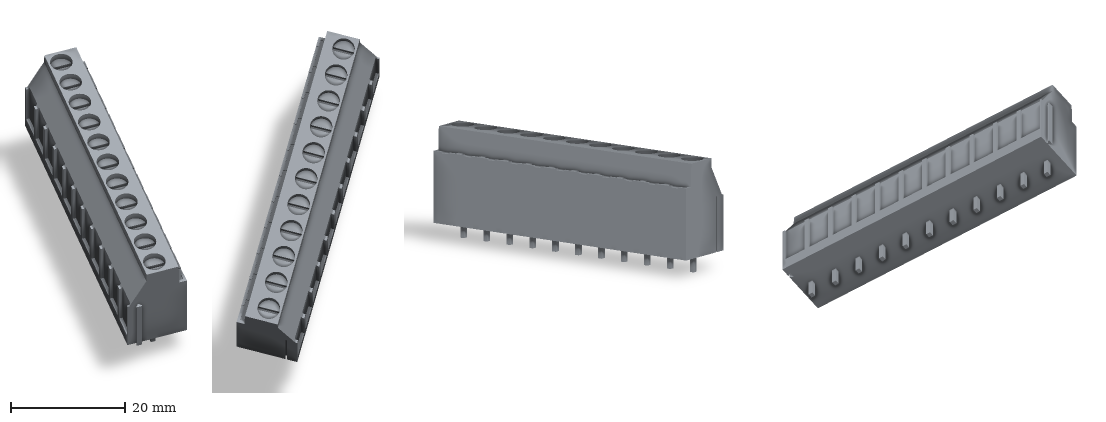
import cadquery as cq
import math

pole_count = 11
overall_length = 55.65
latch_projection = 0.65
body_length = overall_length - latch_projection
pitch = body_length / pole_count
body_depth = 11.0
overall_height = 20.3
pin_length = 3.2
body_height = overall_height - pin_length

lip_height = 10.0
lip_depth = 0.4
nose_height = 1.65
slope_angle = 30.0
slope_top = body_height - nose_height
slope_run = (slope_top - lip_height) * math.tan(math.radians(slope_angle))
slope_setback = lip_depth + slope_run
shelf_height = 12.9
shelf_depth = 1.4
draft_angle = 2.0
draft_slope = math.tan(math.radians(draft_angle))
nose_draft = nose_height * draft_slope
rear_draft = (body_height - shelf_height) * draft_slope

window_width = 4.2
window_margin = 0.55
window_sill = 2.35
window_depth = 0.6

screw_diameter = 3.95
screw_setback = 5.85
screw_recess = 1.3
slot_width = 0.6
slot_depth = 0.85

marker_width = 3.95
marker_mouth = 1.5
marker_lip = 0.5
marker_depth = 0.2

pin_width = 0.8
pin_thickness = 0.9

rail_setback = 2.0
rail_neck_width = 0.35
rail_head_width = 1.0
rail_neck_length = 0.15
rail_flare_length = 0.3


def box(x, y, z, length, depth, height):
    """Box with its lowest corner at (x, y, z)."""
    return cq.Workplane("XY").box(length, depth, height, centered=False).translate((x, y, z))


def housing():
    """Side profile swept along the whole row of poles."""
    profile = [
        (0, 0),
        (body_depth, 0),
        (body_depth, shelf_height),
        (body_depth - shelf_depth, shelf_height),
        (body_depth - shelf_depth - rear_draft, body_height),
        (slope_setback + nose_draft, body_height),
        (slope_setback, slope_top),
        (lip_depth, lip_height),
        (0, lip_height),
    ]
    return cq.Workplane("YZ").polyline(profile).close().extrude(body_length)


def wire_window(pole):
    """Recess behind the front face, open upward so that it runs out into the slope."""
    x = pole * pitch + window_margin
    return box(x, 0, window_sill, window_width, window_depth, body_height - window_sill)


def screw_well(center_x):
    """Round well down to the screw head, with the driver slot across the head."""
    floor = body_height - screw_recess
    well = cq.Workplane("XY").circle(screw_diameter / 2).extrude(screw_recess + slot_depth)
    slot = cq.Workplane("XY").rect(slot_width, screw_diameter).extrude(slot_depth)
    head = cq.Workplane("XY").circle(screw_diameter / 2).extrude(slot_depth).cut(slot)
    return well.cut(head).translate((center_x, screw_setback, floor - slot_depth))


def marker_pocket(center_x):
    """Wide pocket against the rear wall with a narrow mouth through the back face."""
    floor = shelf_height - marker_depth
    inner_depth = shelf_depth - marker_lip
    cavity = box(
        center_x - marker_width / 2, body_depth - shelf_depth, floor,
        marker_width, inner_depth, marker_depth,
    )
    mouth = box(
        center_x - marker_mouth / 2, body_depth - shelf_depth, floor,
        marker_mouth, shelf_depth, marker_depth,
    )
    return cavity.union(mouth)


def solder_pin(center_x):
    return box(
        center_x - pin_width / 2, (body_depth - pin_thickness) / 2, -pin_length,
        pin_width, pin_thickness, pin_length,
    )


def latch_rail(start_x):
    """Rail growing along +X from the plane x = start_x, with a head that flares out from its neck."""
    half_outline = [
        (start_x, rail_neck_width / 2),
        (start_x + rail_neck_length, rail_neck_width / 2),
        (start_x + rail_neck_length + rail_flare_length, rail_head_width / 2),
        (start_x + latch_projection, rail_head_width / 2),
    ]
    mirrored_half = [(x, -y) for x, y in reversed(half_outline)]
    outline = cq.Workplane("XY").polyline(half_outline + mirrored_half).close()
    return outline.extrude(lip_height).translate((0, rail_setback, 0))


result = housing()
for pole in range(pole_count):
    center_x = (pole + 0.5) * pitch
    result = result.cut(wire_window(pole))
    result = result.cut(screw_well(center_x))
    result = result.cut(marker_pocket(center_x))
    result = result.union(solder_pin(center_x))
result = result.cut(latch_rail(0))
result = result.union(latch_rail(body_length))